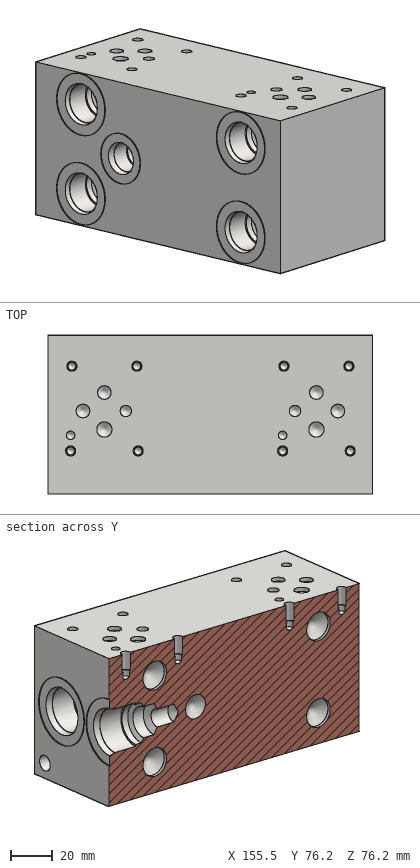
import cadquery as cq
import math

LENGTH = 155.5
DEPTH = 76.2
HEIGHT = 76.2

DRILL_POINT_ANGLE = 118.0
SEAT_HALF_ANGLE = 12.0
SPOTFACE_DEPTH = 0.5

PATTERN_PITCH = 101.6
WORK_PORT_X = 28.6
WORK_PORT_OFFSET = 22.2
GAUGE_PORT_X = 53.8
MAIN_PORT_OFFSET = 17.9

WORK_PORT = {
    "spotface": 30.6, "seat": 20.4, "seat_end": 19.3,
    "thread": 19.0, "thread_depth": 14.3,
    "tap_drill": 17.5, "tap_drill_depth": 17.9,
    "drill": 14.3, "drill_depth": 21.8,
}
GAUGE_PORT = {
    "spotface": 24.9, "seat": 15.9, "seat_end": 14.5,
    "thread": 14.3, "thread_depth": 12.8,
    "tap_drill": 12.9, "tap_drill_depth": 15.5,
    "drill": 12.1, "drill_depth": 20.2,
}
MAIN_PORT = {
    "spotface": 34.0, "seat": 24.0, "seat_end": 22.5,
    "thread": 22.2, "thread_depth": 16.6,
    "tap_drill": 20.4, "tap_drill_depth": 20.2,
    "drill": 15.9, "drill_depth": 28.0,
}
PRESSURE_PILOT_DIAMETER = 9.0
PRESSURE_PILOT_DEPTH = 40.5

END_BOLT_OFFSET = 30.2
END_BOLT_Z = 8.0
END_BOLT_THREAD = 8.0
END_BOLT_THREAD_DEPTH = 12.5
END_BOLT_DRILL = 6.4
END_BOLT_DRILL_DEPTH = 15.5

STATION_X = 27.0
VALVE_BOLT_BACK_Y = 61.3
VALVE_BOLT_FRONT_Y = 20.7
VALVE_BOLT_BACK_OFFSET = 15.5
VALVE_BOLT_FRONT_OFFSET = 16.2
VALVE_BOLT_THREAD = 4.8
VALVE_BOLT_THREAD_DEPTH = 9.3
VALVE_BOLT_DRILL = 3.7
VALVE_BOLT_DRILL_DEPTH = 12.5
PIN_DIAMETER = 4.0
PIN_DEPTH = 4.7
PIN_Y = 28.2
VALVE_PORT_DEPTH = 2.0
BACK_PORT_DIAMETER = 6.5
BACK_PORT_Y = 48.7
FRONT_PORT_DIAMETER = 7.3
FRONT_PORT_Y = 31.0
SIDE_PORT_Y = 39.8
SIDE_PORT_OFFSET = 10.3
OUTER_PORT_DIAMETER = 6.5
INNER_PORT_DIAMETER = 5.5

INTO_FRONT = cq.Vector(0, 1, 0)
INTO_LEFT = cq.Vector(1, 0, 0)
INTO_TOP = cq.Vector(0, 0, -1)


def cylinder(point, direction, diameter, depth):
    return cq.Workplane(cq.Solid.makeCylinder(diameter / 2, depth, point, direction))


def drilling(point, direction, diameter, depth):
    """Blind hole of full diameter down to depth, ending in a conical drill point."""
    radius = diameter / 2
    tip = radius / math.tan(math.radians(DRILL_POINT_ANGLE / 2))
    cone = cq.Solid.makeCone(radius, 0, tip, point + direction * depth, direction)
    return cylinder(point, direction, diameter, depth).union(cq.Workplane(cone))


def tapped_hole(point, direction, thread, thread_depth, drill, drill_depth):
    """Thread at its major diameter, stepping down to a pointed tapping drill."""
    bore = cylinder(point, direction, thread, thread_depth)
    return bore.union(drilling(point, direction, drill, drill_depth))


def threaded_port(point, direction, port):
    """Spotface, tapered seal seat, thread, tapping drill and passage drill on one axis."""
    seat_depth = (port["seat"] - port["seat_end"]) / 2 / math.tan(math.radians(SEAT_HALF_ANGLE))
    seat_start = point + direction * SPOTFACE_DEPTH
    seat = cq.Solid.makeCone(port["seat"] / 2, port["seat_end"] / 2, seat_depth, seat_start, direction)
    bore = cylinder(point, direction, port["spotface"], SPOTFACE_DEPTH)
    bore = bore.union(cq.Workplane(seat))
    bore = bore.union(tapped_hole(
        point, direction,
        port["thread"], port["thread_depth"], port["tap_drill"], port["tap_drill_depth"],
    ))
    return bore.union(drilling(point, direction, port["drill"], port["drill_depth"]))


def valve_station(center_x, outward):
    """Holes of one valve station; outward is the X sign towards the nearer block end."""
    def on_top(offset, y):
        return cq.Vector(center_x + offset, y, HEIGHT)

    holes = []
    for side in (-1, 1):
        for offset, y in (
            (VALVE_BOLT_BACK_OFFSET, VALVE_BOLT_BACK_Y),
            (VALVE_BOLT_FRONT_OFFSET, VALVE_BOLT_FRONT_Y),
        ):
            holes.append(tapped_hole(
                on_top(side * offset, y), INTO_TOP,
                VALVE_BOLT_THREAD, VALVE_BOLT_THREAD_DEPTH,
                VALVE_BOLT_DRILL, VALVE_BOLT_DRILL_DEPTH,
            ))

    holes.append(drilling(on_top(-VALVE_BOLT_FRONT_OFFSET, PIN_Y), INTO_TOP, PIN_DIAMETER, PIN_DEPTH))

    for offset, y, diameter in (
        (0, BACK_PORT_Y, BACK_PORT_DIAMETER),
        (0, FRONT_PORT_Y, FRONT_PORT_DIAMETER),
        (outward * SIDE_PORT_OFFSET, SIDE_PORT_Y, OUTER_PORT_DIAMETER),
        (-outward * SIDE_PORT_OFFSET, SIDE_PORT_Y, INNER_PORT_DIAMETER),
    ):
        holes.append(drilling(on_top(offset, y), INTO_TOP, diameter, VALVE_PORT_DEPTH))
    return holes


def front_ports():
    """A and B ports of both stations, plus the gauge port between them."""
    ports = []
    for x in (WORK_PORT_X, WORK_PORT_X + PATTERN_PITCH):
        for side in (-1, 1):
            point = cq.Vector(x, 0, HEIGHT / 2 + side * WORK_PORT_OFFSET)
            ports.append(threaded_port(point, INTO_FRONT, WORK_PORT))
    ports.append(threaded_port(cq.Vector(GAUGE_PORT_X, 0, HEIGHT / 2), INTO_FRONT, GAUGE_PORT))
    return ports


def left_face_holes():
    """P and T ports with the tapped mounting holes below them."""
    pressure = cq.Vector(0, DEPTH / 2 - MAIN_PORT_OFFSET, HEIGHT / 2)
    tank = cq.Vector(0, DEPTH / 2 + MAIN_PORT_OFFSET, HEIGHT / 2)
    holes = [
        threaded_port(pressure, INTO_LEFT, MAIN_PORT),
        threaded_port(tank, INTO_LEFT, MAIN_PORT),
        drilling(pressure, INTO_LEFT, PRESSURE_PILOT_DIAMETER, PRESSURE_PILOT_DEPTH),
    ]
    for side in (-1, 1):
        point = cq.Vector(0, DEPTH / 2 + side * END_BOLT_OFFSET, END_BOLT_Z)
        holes.append(tapped_hole(
            point, INTO_LEFT,
            END_BOLT_THREAD, END_BOLT_THREAD_DEPTH, END_BOLT_DRILL, END_BOLT_DRILL_DEPTH,
        ))
    return holes


block = cq.Workplane("XY").box(LENGTH, DEPTH, HEIGHT, centered=False)

cutters = front_ports() + left_face_holes()
cutters += valve_station(STATION_X, outward=-1)
cutters += valve_station(STATION_X + PATTERN_PITCH, outward=1)

result = block
for cutter in cutters:
    result = result.cut(cutter)